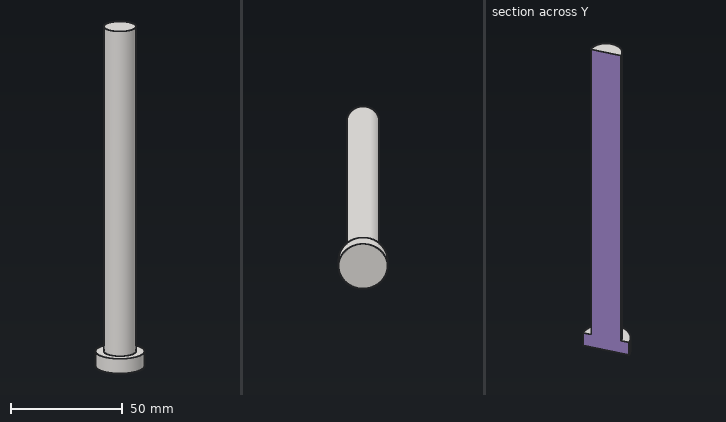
import cadquery as cq

overall_length = 160.0
head_diameter = 22.0
head_height = 7.0
shank_diameter = 14.5


def make_head():
    """Flat round head with its underside at Z = 0."""
    return cq.Workplane("XY").circle(head_diameter / 2).extrude(head_height)


def add_shank(head):
    """Plain cylindrical shank rising from the head to the full length."""
    shank_length = overall_length - head_height
    return head.faces(">Z").workplane().circle(shank_diameter / 2).extrude(shank_length)


result = add_shank(make_head())